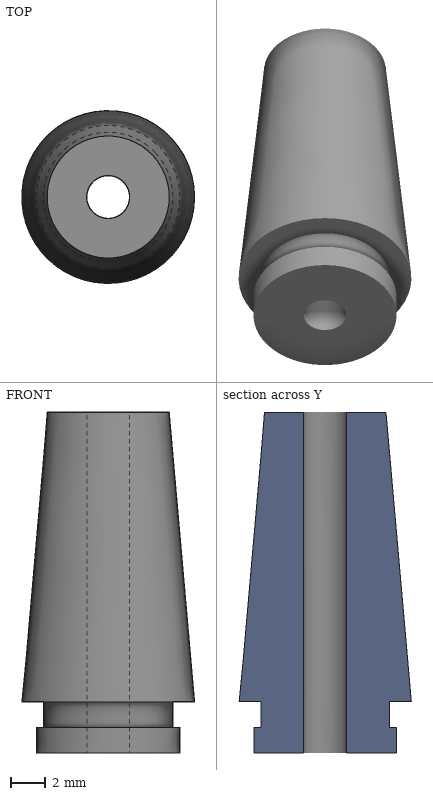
import cadquery as cq

total_height = 20.0
flange_height = 1.5
groove_height = 1.5
cone_height = total_height - flange_height - groove_height

flange_diameter = 8.4
groove_diameter = 7.6
cone_base_diameter = 10.15
cone_top_diameter = 7.15
bore_diameter = 2.5


def tapered_body():
    """Cone that narrows towards the top face."""
    return (
        cq.Workplane("XY")
        .workplane(offset=flange_height + groove_height)
        .circle(cone_base_diameter / 2)
        .workplane(offset=cone_height)
        .circle(cone_top_diameter / 2)
        .loft(ruled=True)
    )


def grooved_spigot():
    """Bottom flange with the narrower neck that forms the groove."""
    return (
        cq.Workplane("XY")
        .circle(flange_diameter / 2)
        .extrude(flange_height)
        .faces(">Z")
        .workplane()
        .circle(groove_diameter / 2)
        .extrude(groove_height)
    )


def through_bore():
    """Axial hole through the full height."""
    return cq.Workplane("XY").circle(bore_diameter / 2).extrude(total_height)


result = grooved_spigot().union(tapered_body()).cut(through_bore())